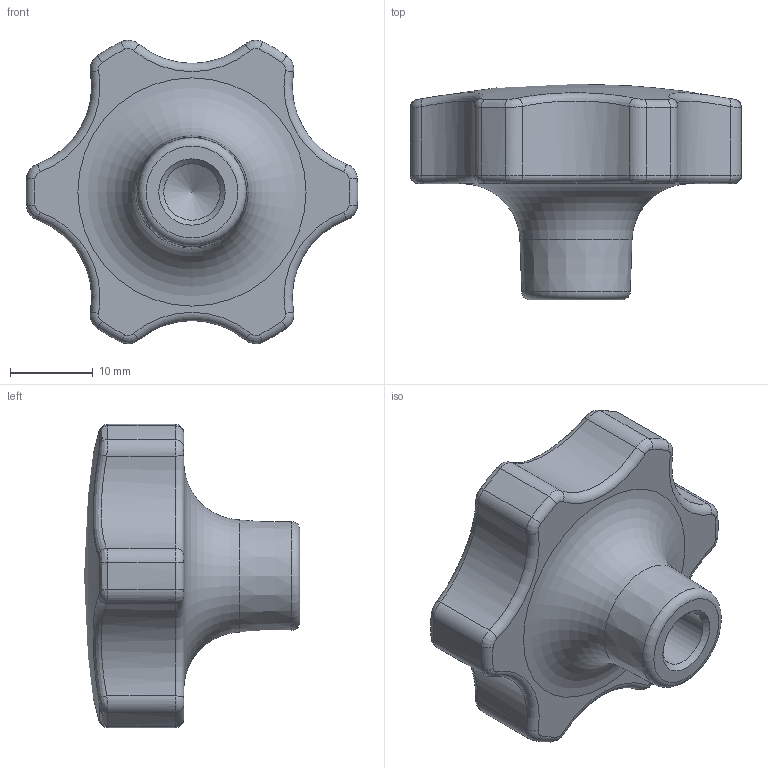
import cadquery as cq
import math


head_radius = 20.0
head_back_y = 14.0
crown_y = 26.0
crown_radius = 100.0
lobe_count = 6
scallop_radius = 10.0
scallop_centre_radius = 25.5
lobe_corner_radius = 2.0
rim_fillet = 1.0

stem_end_radius = 6.5
stem_taper_deg = 2.0
stem_end_fillet = 1.0
flare_radius = 7.0

bore_radius = 3.4
bore_depth = 14.0
bore_mouth_radius = 4.0
bore_tip_angle_deg = 118.0

head_plane = cq.Plane(origin=(0, 0, 0), xDir=(1, 0, 0), normal=(0, -1, 0))


def revolve_about_y(profile):
    """Close an XY half profile and turn it about the Y axis."""
    return profile.close().revolve(360, (0, 0, 0), (0, 1, 0))


def polar(radius, angle):
    return (radius * math.cos(angle), radius * math.sin(angle))


def dome_height(radius):
    """Y of the domed face at a distance from the knob axis."""
    return crown_y - crown_radius + math.sqrt(crown_radius**2 - radius**2)


def make_head():
    """Domed disc with scalloped grips, rounded lobe corners and rounded rims."""
    mid_radius = head_radius / 2
    head = revolve_about_y(
        cq.Workplane("XY")
        .moveTo(0, head_back_y)
        .lineTo(head_radius, head_back_y)
        .lineTo(head_radius, dome_height(head_radius))
        .threePointArc((mid_radius, dome_height(mid_radius)), (0, crown_y))
    )
    return head.intersect(make_lobe_prism()).edges("not |Y").fillet(rim_fillet)


def make_lobe_prism():
    """Star outline of the head, extruded over its full height."""
    pitch = 2 * math.pi / lobe_count
    corner_centre_radius = head_radius - lobe_corner_radius
    corner_to_scallop = scallop_radius + lobe_corner_radius
    corner_offset = math.acos(
        (corner_centre_radius**2 + scallop_centre_radius**2 - corner_to_scallop**2)
        / (2 * corner_centre_radius * scallop_centre_radius)
    )
    scallop_half_angle = math.asin(corner_centre_radius * math.sin(corner_offset) / corner_to_scallop)

    def on_scallop(scallop_angle, turn):
        x, z = polar(scallop_centre_radius, scallop_angle)
        dx, dz = polar(scallop_radius, scallop_angle + math.pi + turn)
        return (x + dx, z + dz)

    def on_corner(scallop_angle, side):
        corner_angle = scallop_angle + side * corner_offset
        x, z = polar(corner_centre_radius, corner_angle)
        middle_turn = (corner_offset + scallop_half_angle) / 2
        dx, dz = polar(lobe_corner_radius, corner_angle - side * middle_turn)
        return (x + dx, z + dz)

    first_scallop = pitch / 2
    outline = cq.Workplane(head_plane).moveTo(*polar(head_radius, first_scallop - corner_offset))
    for index in range(lobe_count):
        angle = first_scallop + index * pitch
        outline = outline.threePointArc(on_corner(angle, -1), on_scallop(angle, scallop_half_angle))
        outline = outline.threePointArc(on_scallop(angle, 0), on_scallop(angle, -scallop_half_angle))
        outline = outline.threePointArc(on_corner(angle, 1), polar(head_radius, angle + corner_offset))
        outline = outline.threePointArc(
            polar(head_radius, angle + pitch / 2),
            polar(head_radius, angle + pitch - corner_offset),
        )
    return outline.close().extrude(-crown_y)


def make_stem():
    """Tapered stem that flares tangentially into the back of the head."""
    taper = math.radians(stem_taper_deg)
    flare_centre_y = head_back_y - flare_radius
    flare_centre_radius = (
        stem_end_radius + flare_centre_y * math.tan(taper) + flare_radius / math.cos(taper)
    )

    def on_flare(angle):
        """Point on the flare arc, turned by an angle from the direction facing the axis."""
        return (
            flare_centre_radius - flare_radius * math.cos(angle),
            flare_centre_y + flare_radius * math.sin(angle),
        )

    flare_end = math.pi / 2
    stem = revolve_about_y(
        cq.Workplane("XY")
        .lineTo(stem_end_radius, 0)
        .lineTo(*on_flare(taper))
        .threePointArc(on_flare((taper + flare_end) / 2), on_flare(flare_end))
        .lineTo(0, head_back_y)
    )
    return stem.faces("<Y").edges().fillet(stem_end_fillet)


def make_bore():
    """Blind bore with a 45 degree mouth chamfer and a drill-point bottom."""
    mouth_chamfer = bore_mouth_radius - bore_radius
    tip_length = bore_radius / math.tan(math.radians(bore_tip_angle_deg / 2))
    return revolve_about_y(
        cq.Workplane("XY")
        .lineTo(bore_mouth_radius, 0)
        .lineTo(bore_radius, mouth_chamfer)
        .lineTo(bore_radius, bore_depth)
        .lineTo(0, bore_depth + tip_length)
    )


result = make_head().union(make_stem()).cut(make_bore())